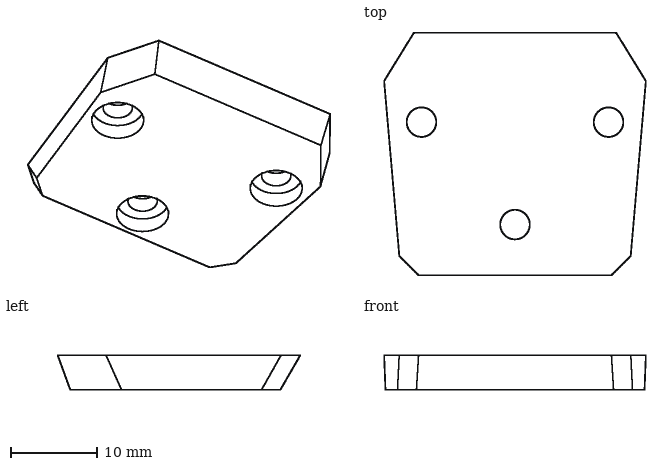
import cadquery as cq
import math

width = 30.3
length = 28.1
thickness = 4.0
back_half_width = 11.7
back_corner_length = 5.6
front_half_width = 11.15
front_corner_size = 2.25

back_draft = 20.0
back_corner_draft = 15.0
side_draft = 0.0
front_corner_draft = 20.0
front_draft = 30.0

hole_diameter = 3.4
counterbore_diameter = 6.0
counterbore_depth = thickness / 2
back_hole_half_spacing = 10.82
back_hole_inset = 10.37
hole_row_spacing = 11.85

back_y = length / 2
front_y = -length / 2


def top_outline():
    """Corners of the top face, counterclockwise from the front right."""
    right_side = [
        (front_half_width, front_y),
        (front_half_width + front_corner_size, front_y + front_corner_size),
        (width / 2, back_y - back_corner_length),
        (back_half_width, back_y),
    ]
    left_side = [(-x, y) for x, y in reversed(right_side)]
    return right_side + left_side


def inset_line(start, end, inset):
    """Line a*x + b*y = c parallel to start-end, moved inward (to its left) by inset."""
    edge_length = math.dist(start, end)
    a = (start[1] - end[1]) / edge_length
    b = (end[0] - start[0]) / edge_length
    return a, b, a * start[0] + b * start[1] + inset


def crossing(first, second):
    """Point where two lines a*x + b*y = c meet."""
    a1, b1, c1 = first
    a2, b2, c2 = second
    determinant = a1 * b2 - a2 * b1
    return (c1 * b2 - c2 * b1) / determinant, (a1 * c2 - a2 * c1) / determinant


def inset_outline(corners, drafts):
    """Outline one thickness lower, where drafts[i] belongs to the wall starting at corner i."""
    lines = []
    for i, draft in enumerate(drafts):
        next_corner = corners[(i + 1) % len(corners)]
        inset = thickness * math.tan(math.radians(draft))
        lines.append(inset_line(corners[i], next_corner, inset))
    return [crossing(lines[i - 1], lines[i]) for i in range(len(lines))]


def drafted_plate():
    """Plate with flat walls joining the bottom outline to the larger top outline."""
    right_drafts = [front_corner_draft, side_draft, back_corner_draft]
    drafts = right_drafts + [back_draft] + right_drafts[::-1] + [front_draft]
    top = top_outline()
    bottom = inset_outline(top, drafts)
    return (
        cq.Workplane("XY")
        .polyline(bottom)
        .close()
        .workplane(offset=thickness)
        .polyline(top)
        .close()
        .loft(ruled=True)
    )


def hole_cutters():
    """Through holes and their counterbores."""
    back_hole_y = back_y - back_hole_inset
    centers = [
        (-back_hole_half_spacing, back_hole_y),
        (back_hole_half_spacing, back_hole_y),
        (0, back_hole_y - hole_row_spacing),
    ]
    sketch = cq.Workplane("XY").pushPoints(centers)
    through_holes = sketch.circle(hole_diameter / 2).extrude(thickness)
    counterbores = sketch.circle(counterbore_diameter / 2).extrude(counterbore_depth)
    return through_holes.union(counterbores)


result = drafted_plate().cut(hole_cutters())